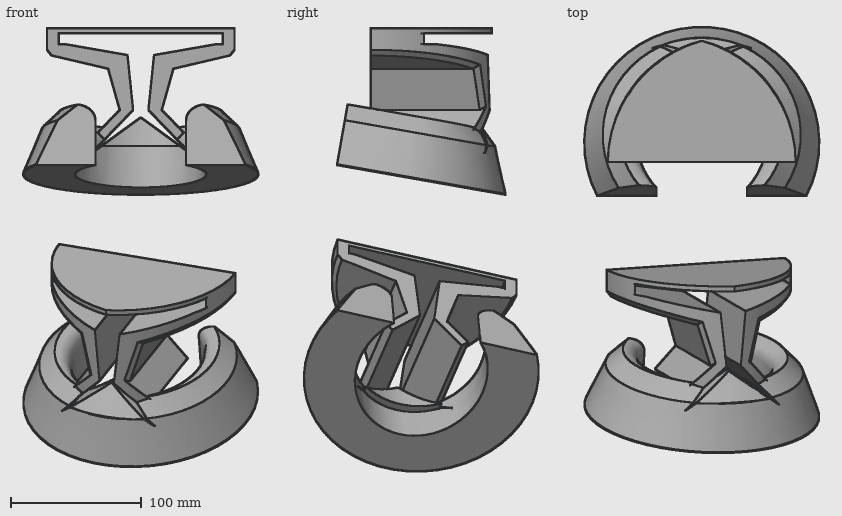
import cadquery as cq
import math

tilt = 10.0
ring_radius = 90.0
rim_height = 0.7
bore_half_width = 50.2
bore_half_length = 56.8
crease_radius = 75.7
crease_height = 34.9
crest_radius = 63.1
crest_height = 47.3
shoulder_radius = 12.2
ring_front = -41.2
reach = 143.9

visor_front = -14.8
visor_half_width = 71.8
visor_depth = 92.8
visor_top = 111.9
slot_half_width = 62.6
slot_top = 108.0
slot_bottom = 99.7
slot_floor_end = 57.4
inner_bend_x = 10.0
inner_bend_z = 91.4
foot_outer_x = 33.0
foot_outer_z = 32.0
shelf_tip_z = 91.7
arm_bend_x = 25.0
arm_bend_z = 80.8
outer_knee_x = 16.2
arm_chamfer = 3.6
arm_foot_x = 27.7
arm_foot_z = 26.6
arm_knee_x = 5.8
arm_knee_z = 49.3

gable_peak = 43.7
gable_base = 21.8
gable_slope = 36.0
gable_inner_radius = 50.2
gable_tangent = math.tan(math.radians(gable_slope))
gable_base_half_width = (gable_peak - gable_base) / gable_tangent

foot_slope = (arm_knee_z - arm_foot_z) / (arm_knee_x - arm_foot_x)
notch_tip_x = (gable_peak - arm_foot_z + foot_slope * arm_foot_x) / (foot_slope + gable_tangent)
notch_tip_z = gable_peak - notch_tip_x * gable_tangent
notch_top = 72.0
notch_top_x = arm_foot_x + (notch_top - arm_foot_z) / foot_slope


def mirrored_prism(half_outline, front, depth):
    """Extrude a closed outline, given by its +X half, from front toward +Y."""
    other_half = [(-x, z) for x, z in reversed(half_outline)]
    plane = cq.Workplane("XZ", origin=(0, front, 0))
    return plane.polyline(half_outline + other_half).close().extrude(-depth)


def make_visor():
    outline = [
        (visor_half_width, visor_top),
        (visor_half_width, shelf_tip_z),
        (arm_bend_x, arm_bend_z),
        (outer_knee_x, arm_knee_z),
        (foot_outer_x, foot_outer_z),
        (arm_foot_x, arm_foot_z),
        (arm_knee_x, arm_knee_z),
        (inner_bend_x, inner_bend_z),
        (slot_floor_end, slot_bottom),
        (slot_half_width, slot_bottom),
        (slot_half_width, slot_top),
    ]
    blank = mirrored_prism(outline, visor_front, visor_depth)
    centre_x = (visor_depth**2 - visor_half_width**2) / (2 * visor_half_width)
    arch_radius = centre_x + visor_half_width
    mid_angle = math.atan2(visor_depth, centre_x) / 2
    mid_x = arch_radius * math.cos(mid_angle) - centre_x
    mid_y = arch_radius * math.sin(mid_angle)
    arch = (
        cq.Workplane("XY", origin=(0, visor_front, 0))
        .moveTo(-visor_half_width, 0)
        .lineTo(visor_half_width, 0)
        .threePointArc((mid_x, mid_y), (0, visor_depth))
        .threePointArc((-mid_x, mid_y), (-visor_half_width, 0))
        .close()
        .extrude(reach)
    )
    visor = blank.intersect(arch)
    tolerance = 0.4
    arched_edges = []
    for edge in visor.edges().vals():
        ends = [edge.startPoint(), edge.endPoint()]
        ends.sort(key=lambda point: point.z)
        low, high = ends
        behind_front = edge.Center().y > visor_front + tolerance
        is_shelf = abs(low.z - arm_bend_z) < tolerance and abs(high.z - shelf_tip_z) < tolerance
        is_shank = abs(low.z - arm_knee_z) < tolerance and abs(high.z - arm_bend_z) < tolerance
        if behind_front and (is_shelf or is_shank):
            arched_edges.append(edge)
    return visor.newObject(arched_edges).chamfer(arm_chamfer)


def tilted(body):
    return body.rotate((0, 0, 0), (1, 0, 0), -tilt)


def make_cone_body(top_radius, top_height):
    """Revolve the outer cones, ending the upper one at the given radius and height."""
    return (
        cq.Workplane("XZ")
        .moveTo(0, 0)
        .lineTo(ring_radius, 0)
        .lineTo(ring_radius, rim_height)
        .lineTo(crease_radius, crease_height)
        .lineTo(top_radius, top_height)
        .lineTo(0, top_height)
        .close()
        .revolve(360, (0, 0, 0), (0, 1, 0))
    )


def make_ring(visor):
    disc = cq.Workplane("XY").circle(ring_radius).extrude(crest_height)
    bore = cq.Workplane("XY").ellipse(bore_half_width, bore_half_length).extrude(crest_height)
    inner_form = disc.cut(bore).edges("%ELLIPSE and >Z").fillet(shoulder_radius)
    ring = inner_form.intersect(make_cone_body(crest_radius, crest_height))
    front_cut = cq.Workplane("XY").box(2 * reach, reach, 2 * reach)
    front_cut = front_cut.translate((0, ring_front - reach / 2, 0))
    notch_outline = [
        (gable_base_half_width, gable_base),
        (notch_tip_x, notch_tip_z),
        (notch_top_x, notch_top),
    ]
    notch = mirrored_prism(notch_outline, 0, reach)
    return tilted(ring.cut(front_cut)).cut(notch).cut(visor)


def make_gable():
    cone_slope = (crest_height - crease_height) / (crease_radius - crest_radius)
    edge_height = crease_height + cone_slope * (crease_radius - gable_inner_radius)
    inner_wall = cq.Workplane("XY").circle(gable_inner_radius).extrude(edge_height)
    sharp_ring = tilted(make_cone_body(gable_inner_radius, edge_height).cut(inner_wall))
    roof = (
        cq.Workplane("XZ")
        .moveTo(-gable_base_half_width, gable_base)
        .lineTo(gable_base_half_width, gable_base)
        .lineTo(0, gable_peak)
        .close()
        .extrude(-reach)
    )
    return sharp_ring.intersect(roof)


visor = make_visor()
ring = make_ring(visor)
gable = make_gable()
result = cq.Compound.makeCompound([visor.val(), ring.val(), gable.val()])